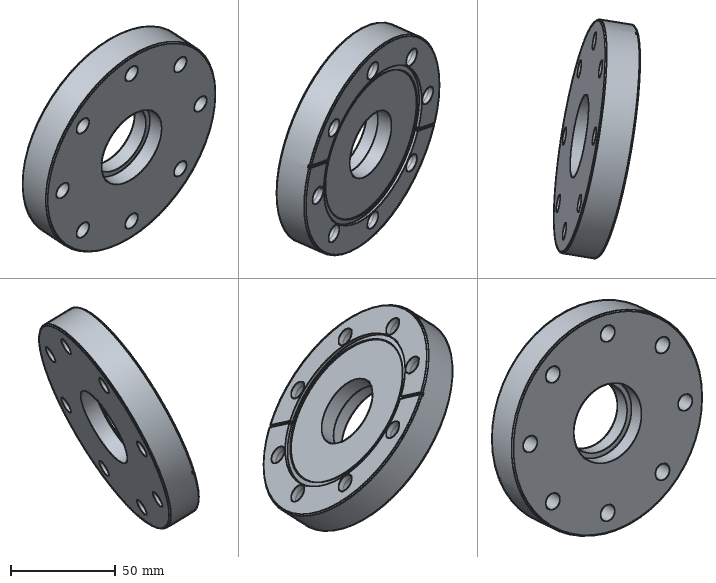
import cadquery as cq
import math

outer_diameter = 113.5
thickness = 17.3
rim_chamfer = 0.7

bore_diameter = 35.0
rear_bore_diameter = 40.2
bore_step_depth = 9.2

recess_diameter = 82.4
knife_diameter = 77.2
recess_depth = 1.6
knife_tip_depth = 0.8
inner_floor_depth = 1.2
knife_inner_width = 0.2

bolt_count = 8
bolt_circle_diameter = 92.2
bolt_hole_diameter = 8.4
bolt_mouth_diameter = 9.1
bolt_taper_depth = 2.5

groove_width = 1.4
groove_depth = 1.2
groove_tilt = 180 / bolt_count


def make_body():
    """Chamfered disc with its sealing face in the plane X = 0."""
    disc = cq.Workplane("YZ").circle(outer_diameter / 2).extrude(thickness)
    return disc.faces("<X or >X").chamfer(rim_chamfer)


def make_bore():
    """Stepped through bore."""
    front = cq.Workplane("YZ").circle(bore_diameter / 2).extrude(thickness)
    rear = (
        cq.Workplane("YZ", origin=(bore_step_depth, 0, 0))
        .circle(rear_bore_diameter / 2)
        .extrude(thickness - bore_step_depth)
    )
    return front.union(rear)


def make_sealing_recess():
    """Revolved cutter that leaves the knife edge standing in the recess."""
    knife_radius = knife_diameter / 2
    recess_radius = recess_diameter / 2
    profile = [
        (0, 0),
        (0, recess_radius),
        (recess_depth, recess_radius),
        (knife_tip_depth, knife_radius),
        (inner_floor_depth, knife_radius - knife_inner_width),
        (inner_floor_depth, 0),
    ]
    return cq.Workplane("XY").polyline(profile).close().revolve(360, (0, 0, 0), (1, 0, 0))


def make_bolt_hole():
    """Through hole on the axis, tapering in from a wider mouth at the sealing face."""
    hole_radius = bolt_hole_diameter / 2
    profile = [
        (0, 0),
        (0, bolt_mouth_diameter / 2),
        (bolt_taper_depth, hole_radius),
        (thickness, hole_radius),
        (thickness, 0),
    ]
    return cq.Workplane("XY").polyline(profile).close().revolve(360, (0, 0, 0), (1, 0, 0))


def make_grooves():
    """Two opposite grooves from the recess to the rim, halfway between bolt holes."""
    bar = cq.Workplane("XY").box(2 * groove_depth, outer_diameter, groove_width)
    core = cq.Workplane("YZ").circle(recess_diameter / 2).extrude(groove_depth)
    return bar.cut(core).rotate((0, 0, 0), (1, 0, 0), groove_tilt)


result = make_body().cut(make_bore()).cut(make_sealing_recess()).cut(make_grooves())

bolt_hole = make_bolt_hole()
for index in range(bolt_count):
    angle = 2 * math.pi * index / bolt_count
    offset_y = bolt_circle_diameter / 2 * math.cos(angle)
    offset_z = bolt_circle_diameter / 2 * math.sin(angle)
    result = result.cut(bolt_hole.translate((0, offset_y, offset_z)))